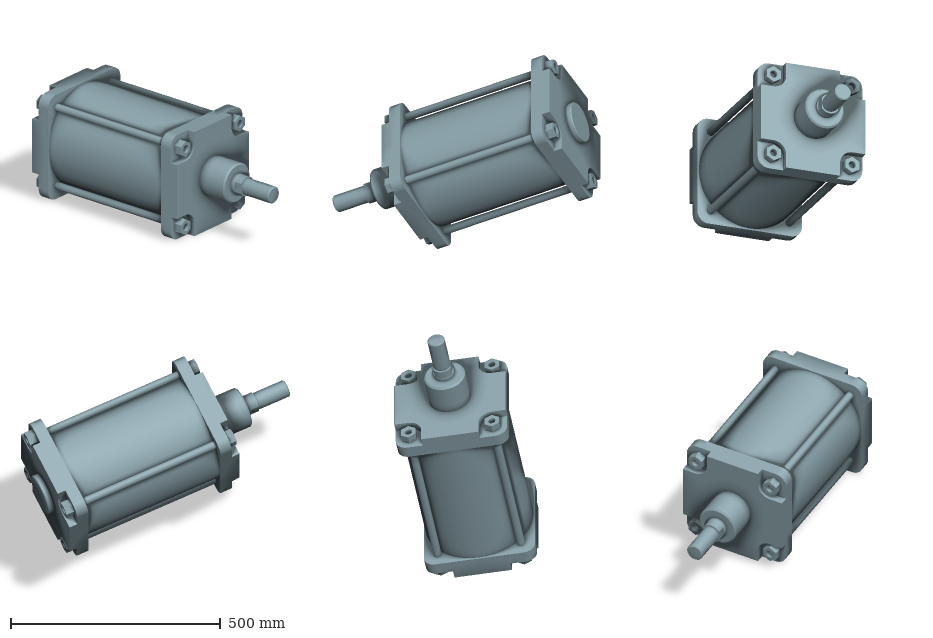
import cadquery as cq
import math


total_length = 653.0
rear_boss_length = 14.5
head_thickness = 49.5
barrel_length = 350.0
front_boss_length = 76.0
collar_length = 8.0
shoulder_length = 2.0
wrench_length = 20.0

barrel_start = rear_boss_length + head_thickness
barrel_end = barrel_start + barrel_length
front_face = barrel_end + head_thickness
boss_end = front_face + front_boss_length
collar_end = boss_end + collar_length
wrench_start = collar_end + shoulder_length
wrench_end = wrench_start + wrench_length

head_side = 270.0
head_corner_radius = 28.0
pocket_side = 65.0
pocket_depth = 20.0
pocket_corner_radius = 32.5
boss_diameter = 100.0
rear_boss_chamfer = 2.0
front_boss_chamfer = 4.0

barrel_diameter = 262.0

collar_diameter = 50.0
wrench_diameter = 49.0
thread_diameter = 42.0
thread_chamfer = 2.5
relief_diameter = 40.5
relief_length = 2.0
relief_taper_length = 2.0

tie_rod_diameter = 19.0
tie_rod_offset = 101.0
nut_across_flats = 35.0
nut_recess_diameter = 17.0
nut_recess_depth = 16.0
nut_recess_chamfer = 1.0

nut_across_corners = nut_across_flats / math.cos(math.pi / 6)
corner_signs = [(-1, -1), (-1, 1), (1, -1), (1, 1)]
tie_rod_centers = [(y * tie_rod_offset, z * tie_rod_offset) for y, z in corner_signs]


def section_at(x):
    """Sketch plane across the axis at x; local axes run along +Y and +Z, and it extrudes toward +X."""
    return cq.Workplane("YZ", origin=(x, 0, 0))


def revolve_about_axis(profile):
    """Revolve a closed profile of (x, radius) points about the X axis."""
    return cq.Workplane("XY").polyline(profile).close().revolve(360, (0, 0, 0), (1, 0, 0))


def make_head(start, pocket_start):
    """Square end plate with a nut pocket in each corner and a clearance hole for each tie rod."""
    plate = section_at(start).rect(head_side, head_side).extrude(head_thickness)
    head_corners = [(y * head_side / 2, z * head_side / 2) for y, z in corner_signs]
    pockets = (
        section_at(pocket_start)
        .pushPoints(head_corners)
        .rect(2 * pocket_side, 2 * pocket_side)
        .extrude(pocket_depth)
        .edges("|X")
        .fillet(pocket_corner_radius)
    )
    tie_rod_holes = (
        section_at(start)
        .pushPoints(tie_rod_centers)
        .circle(tie_rod_diameter / 2)
        .extrude(head_thickness)
    )
    return plate.edges("|X").fillet(head_corner_radius).cut(pockets).cut(tie_rod_holes)


def make_rear_head():
    """Rear head with a short, closed round boss."""
    boss = section_at(0).circle(boss_diameter / 2).extrude(rear_boss_length)
    boss = boss.faces("<X").chamfer(rear_boss_chamfer)
    return make_head(rear_boss_length, rear_boss_length).union(boss)


def make_front_head():
    """Front head with a long boss, bored through for the piston rod."""
    boss = section_at(front_face).circle(boss_diameter / 2).extrude(front_boss_length)
    boss = boss.faces(">X").chamfer(front_boss_chamfer)
    rod_bore = section_at(barrel_end).circle(collar_diameter / 2).extrude(boss_end - barrel_end)
    return make_head(barrel_end, front_face - pocket_depth).union(boss).cut(rod_bore)


def make_barrel():
    """Round barrel between the two heads."""
    return section_at(barrel_start).circle(barrel_diameter / 2).extrude(barrel_length)


def make_piston_rod():
    """Rod through the front head, stepping down to a wrench section and then to a thread end."""
    relief_end = wrench_end + relief_length
    thread_start = relief_end + relief_taper_length
    profile = [
        (barrel_end, 0),
        (barrel_end, collar_diameter / 2),
        (collar_end, collar_diameter / 2),
        (wrench_start, wrench_diameter / 2),
        (wrench_end, wrench_diameter / 2),
        (wrench_end, relief_diameter / 2),
        (relief_end, relief_diameter / 2),
        (thread_start, thread_diameter / 2),
        (total_length - thread_chamfer, thread_diameter / 2),
        (total_length, thread_diameter / 2 - thread_chamfer),
        (total_length, 0),
    ]
    rod = revolve_about_axis(profile)
    return rod.cut(make_wrench_flat_cutter())


def make_wrench_flat_cutter():
    """Ring that cuts flats on the -Y and +Y sides, as far apart as the thread is thick."""
    outer_side = 2 * collar_diameter
    opening_height = 1.5 * collar_diameter
    return (
        section_at(wrench_start)
        .rect(outer_side, outer_side)
        .rect(thread_diameter, opening_height)
        .extrude(wrench_length)
    )


def make_nut(start):
    """Hexagonal nut with two opposite corners pointing along Z."""
    hexagon = section_at(start).transformed(rotate=(0, 0, 90)).polygon(6, nut_across_corners)
    return hexagon.extrude(pocket_depth)


def make_end_recess():
    """Round recess into the rear end face of a tie rod, with a chamfered mouth."""
    bore_radius = nut_recess_diameter / 2
    mouth_radius = bore_radius + nut_recess_chamfer
    profile = [
        (rear_boss_length, 0),
        (rear_boss_length, mouth_radius),
        (rear_boss_length + nut_recess_chamfer, bore_radius),
        (rear_boss_length + nut_recess_depth, bore_radius),
        (rear_boss_length + nut_recess_depth, 0),
    ]
    return revolve_about_axis(profile)


def make_tie_rod(center):
    """Tie rod from nut face to nut face, in one piece with both nuts and recessed at both ends."""
    rod = section_at(rear_boss_length).circle(tie_rod_diameter / 2).extrude(front_face - rear_boss_length)
    rod = rod.union(make_nut(rear_boss_length)).union(make_nut(front_face - pocket_depth))
    rear_recess = make_end_recess()
    mid_x = (rear_boss_length + front_face) / 2
    front_recess = rear_recess.mirror("YZ", (mid_x, 0, 0))
    return rod.cut(rear_recess).cut(front_recess).translate((0, *center))


rear_head = make_rear_head()
front_head = make_front_head()
barrel = make_barrel()
piston_rod = make_piston_rod()
tie_rods = [make_tie_rod(center) for center in tie_rod_centers]

result = cq.Compound.makeCompound(
    [rear_head.val(), front_head.val(), barrel.val(), piston_rod.val()] + [rod.val() for rod in tie_rods]
)